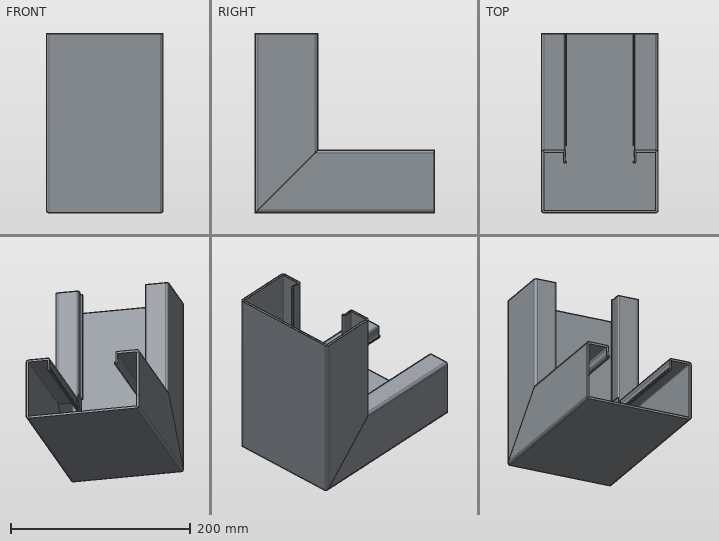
import cadquery as cq

leg_length = 200.0
width = 130.0
depth = 70.0

wall = 2.5
outer_radius = 3.0
inner_radius = 0.5

slot_width = 76.5
lip_wall = 2.0
lip_depth = 14.5
lip_straight_depth = 5.5
lip_lean = 0.5
lip_radius = 1.8

hook_reach = 1.8
hook_wall = 2.2
hook_root_radius = 0.5
hook_radius = hook_root_radius + lip_wall
hook_setback = 5.5

side = -width / 2
lip_face = -slot_width / 2
lip_foot = lip_face - lip_lean
hook_tip = lip_foot + hook_reach
hook_bottom = depth - lip_depth
hook_top = hook_bottom + hook_wall
lip_bend = depth - lip_straight_depth


def round_upright_edge(solid, x, y, radius):
    """Fillet the edge along Z that passes through the section point (x, y)."""
    edge = cq.selectors.NearestToPointSelector((x, y, leg_length / 2))
    return solid.edges(edge).fillet(radius)


def half_channel():
    """Left half of a straight channel standing along Z."""
    half = (
        cq.Workplane("XY")
        .polyline([
            (0, 0),
            (side, 0),
            (side, depth),
            (lip_face, depth),
            (lip_face, lip_bend),
            (lip_foot, hook_top),
            (hook_tip, hook_top),
            (hook_tip, hook_bottom),
            (lip_foot - lip_wall, hook_bottom),
            (lip_face - lip_wall, lip_bend),
            (lip_face - lip_wall, depth - wall),
            (side + wall, depth - wall),
            (side + wall, wall),
            (0, wall),
        ])
        .close()
        .extrude(leg_length)
    )
    half = round_upright_edge(half, side, 0, outer_radius)
    half = round_upright_edge(half, side, depth, outer_radius)
    half = round_upright_edge(half, lip_face, depth, lip_radius)
    half = round_upright_edge(half, lip_foot, hook_top, hook_root_radius)
    half = round_upright_edge(half, lip_foot - lip_wall, hook_bottom, hook_radius)
    half = round_upright_edge(half, side + wall, wall, inner_radius)
    half = round_upright_edge(half, side + wall, depth - wall, inner_radius)
    return round_upright_edge(half, lip_face - lip_wall, depth - wall, inner_radius)


def mitre_wedge():
    """Space above the 45 degree plane Z = Y, where the upright leg lies."""
    return (
        cq.Workplane("YZ")
        .polyline([(0, 0), (leg_length, leg_length), (0, leg_length)])
        .close()
        .extrude(width / 2, both=True)
    )


def hook_notch():
    """Block that removes the hooks up to a short way past the inside corner."""
    return (
        cq.Workplane("XY")
        .box(2 * -lip_foot, lip_depth, depth + hook_setback, centered=(True, False, False))
        .translate((0, hook_bottom, 0))
    )


def make_upright_leg():
    half = half_channel()
    channel = half.union(half.mirror("YZ"))
    return channel.intersect(mitre_wedge()).cut(hook_notch())


def make_level_leg(upright):
    """The upright leg turned half a revolution about the mitre line, to lie along Y."""
    return upright.rotate((0, 0, 0), (0, 1, 1), 180)


upright_leg = make_upright_leg()
level_leg = make_level_leg(upright_leg)

result = cq.Compound.makeCompound([upright_leg.val(), level_leg.val()])